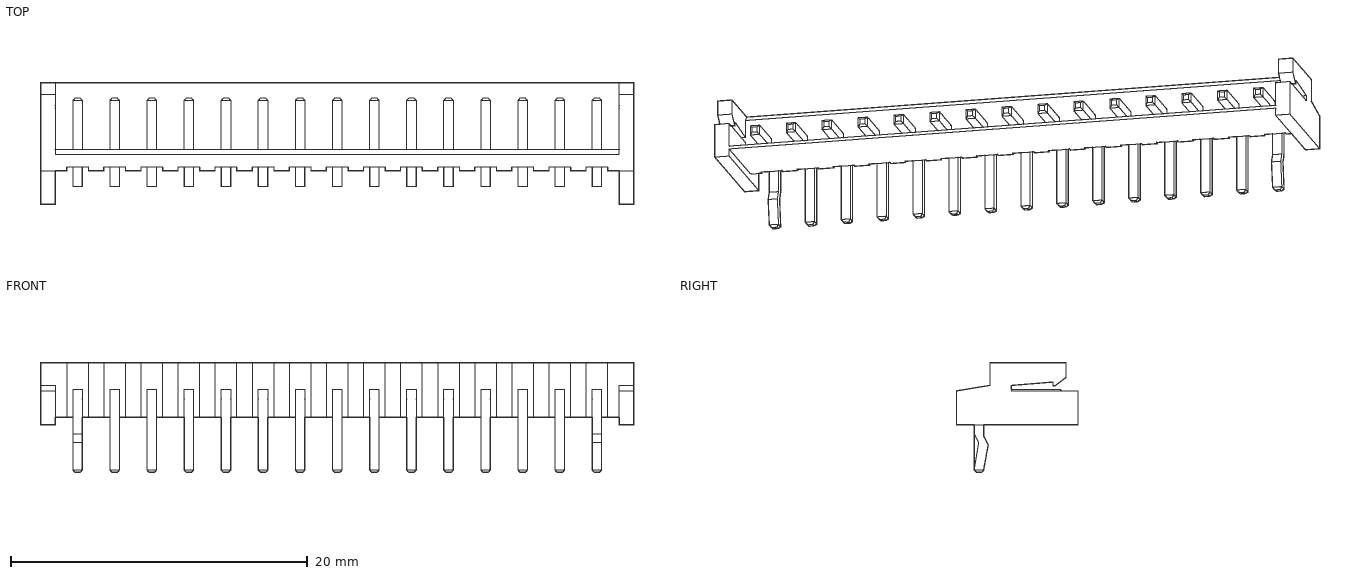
import cadquery as cq

HOUSING_LENGTH = 40.0
HOUSING_DEPTH = 8.2
HOUSING_TOP_Z = 4.2

PIN_COUNT = 15
PIN_PITCH = 2.5
PIN_SIZE = 0.65
PIN_TOP_Z = 2.4
PIN_FRONT_Y = 1.2
PIN_TIP_Y = 7.15
PIN_BOTTOM_Z = -3.2
PIN_INNER_RADIUS = 0.1
PIN_TIP_CHAMFER = 0.15

KINK_OFFSET = 0.3
KINK_START_Z = -0.6
KINK_PEAK_Z = -1.2
KINK_END_Z = -3.0
KINK_BACK_DROP = 0.15

WALL_FRONT_Y = 2.25
WALL_BACK_Y = 3.7
WALL_CHAMFER = 0.35
FLOOR_BOTTOM_Z = 0.5
FLOOR_TOP_Z = 0.7
NOTCH_WIDTH = 1.45
NOTCH_DEPTH = 0.25

PLATE_THICKNESS = 1.0
EAR_FRONT_Z = 2.3
EAR_BACK_Z = 2.67
BASE_TOP_Z = 2.3
ARM_TIP_Y = 7.4
ARM_TIP_LOW_Z = 3.2
HOOK_BACK_Y = 6.65
HOOK_FRONT_Y = 6.5
HOOK_LOW_Z = 2.63
SLOT_OUTER_Z = 2.88
SLOT_INNER_Z = 2.65

OVERLAP = 1.0


def extrude_along_x(outline, x_start, width):
    """Extrude a closed (y, z) outline from x_start toward +X."""
    return cq.Workplane("YZ", origin=(x_start, 0, 0)).polyline(outline).close().extrude(width)


def make_end_plate(x_start):
    outline = [
        (0, 0),
        (HOUSING_DEPTH, 0),
        (HOUSING_DEPTH, BASE_TOP_Z),
        (WALL_BACK_Y, BASE_TOP_Z),
        (WALL_BACK_Y, SLOT_INNER_Z),
        (HOOK_FRONT_Y, SLOT_OUTER_Z),
        (HOOK_FRONT_Y, HOOK_LOW_Z),
        (HOOK_BACK_Y, HOOK_LOW_Z),
        (ARM_TIP_Y, ARM_TIP_LOW_Z),
        (ARM_TIP_Y, HOUSING_TOP_Z),
        (WALL_FRONT_Y, HOUSING_TOP_Z),
        (WALL_FRONT_Y, EAR_BACK_Z),
        (0, EAR_FRONT_Z),
    ]
    return extrude_along_x(outline, x_start, PLATE_THICKNESS)


def make_wall_and_floor():
    """L-shaped section with a chamfer along the top back edge of the wall."""
    outline = [
        (WALL_FRONT_Y, FLOOR_BOTTOM_Z),
        (HOUSING_DEPTH, FLOOR_BOTTOM_Z),
        (HOUSING_DEPTH, FLOOR_TOP_Z),
        (WALL_BACK_Y, FLOOR_TOP_Z),
        (WALL_BACK_Y, HOUSING_TOP_Z - WALL_CHAMFER),
        (WALL_BACK_Y - WALL_CHAMFER, HOUSING_TOP_Z),
        (WALL_FRONT_Y, HOUSING_TOP_Z),
    ]
    return extrude_along_x(outline, -HOUSING_LENGTH / 2, HOUSING_LENGTH)


def make_notch(x_center):
    """Full-height relief in the front of the wall around one pin."""
    height = HOUSING_TOP_Z - FLOOR_BOTTOM_Z
    return (
        cq.Workplane("XY")
        .box(NOTCH_WIDTH, NOTCH_DEPTH + OVERLAP, height + 2 * OVERLAP, centered=(True, False, False))
        .translate((x_center, WALL_FRONT_Y - OVERLAP, FLOOR_BOTTOM_Z - OVERLAP))
    )


def make_pin(x_center, kinked):
    back_y = PIN_FRONT_Y + PIN_SIZE
    under_z = PIN_TOP_Z - PIN_SIZE
    outer_radius = PIN_INNER_RADIUS + PIN_SIZE

    outline = (
        cq.Workplane("YZ", origin=(x_center - PIN_SIZE / 2, 0, 0))
        .moveTo(PIN_TIP_Y, PIN_TOP_Z)
        .lineTo(PIN_FRONT_Y + outer_radius, PIN_TOP_Z)
        .radiusArc((PIN_FRONT_Y, PIN_TOP_Z - outer_radius), -outer_radius)
    )
    if kinked:
        outline = (
            outline.lineTo(PIN_FRONT_Y, KINK_START_Z)
            .lineTo(PIN_FRONT_Y + KINK_OFFSET, KINK_PEAK_Z)
            .lineTo(PIN_FRONT_Y, KINK_END_Z)
        )
    outline = outline.lineTo(PIN_FRONT_Y, PIN_BOTTOM_Z).lineTo(back_y, PIN_BOTTOM_Z)
    if kinked:
        outline = (
            outline.lineTo(back_y, KINK_END_Z)
            .lineTo(back_y + KINK_OFFSET, KINK_PEAK_Z - KINK_BACK_DROP)
            .lineTo(back_y, KINK_START_Z - KINK_BACK_DROP)
        )
    pin = (
        outline.lineTo(back_y, under_z - PIN_INNER_RADIUS)
        .radiusArc((back_y + PIN_INNER_RADIUS, under_z), PIN_INNER_RADIUS)
        .lineTo(PIN_TIP_Y, under_z)
        .close()
        .extrude(PIN_SIZE)
    )
    return pin.faces(">Y or <Z").chamfer(PIN_TIP_CHAMFER)


first_pin_x = -PIN_PITCH * (PIN_COUNT - 1) / 2
pin_positions = [first_pin_x + index * PIN_PITCH for index in range(PIN_COUNT)]

result = make_wall_and_floor()
for pin_x in pin_positions:
    result = result.cut(make_notch(pin_x))

for plate_x in (-HOUSING_LENGTH / 2, HOUSING_LENGTH / 2 - PLATE_THICKNESS):
    result = result.union(make_end_plate(plate_x))

for pin_x in pin_positions:
    is_outermost = pin_x in (pin_positions[0], pin_positions[-1])
    result = result.union(make_pin(pin_x, is_outermost))